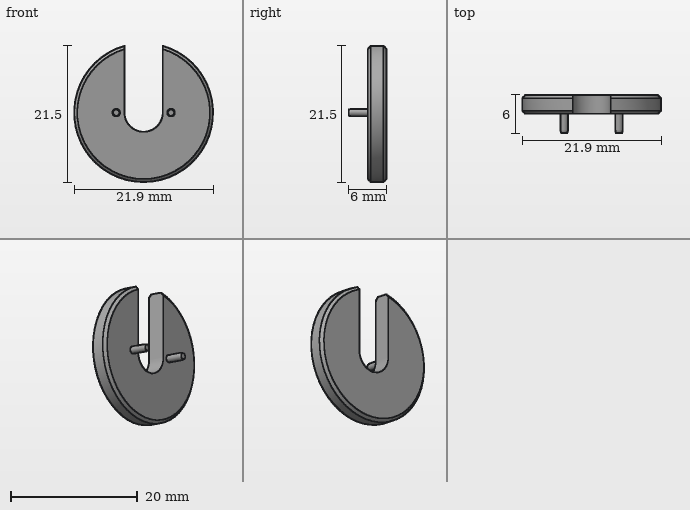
import cadquery as cq

disc_diameter = 21.93
disc_thickness = 3.0
rim_chamfer = 0.5

slot_width = 6.0

pin_diameter = 1.2
pin_length = 3.0
pin_spacing = 8.65
tip_length = 0.4
tip_inset = 0.1


def make_disc():
    """Disc from Y = 0 to Y = disc_thickness, chamfered on both rims."""
    disc = cq.Workplane("XZ").circle(disc_diameter / 2).extrude(-disc_thickness)
    return disc.edges().chamfer(rim_chamfer)


def make_slot():
    """Cutter running from the round slot bottom up past the rim."""
    half_width = slot_width / 2
    return (
        cq.Workplane("XZ")
        .moveTo(-half_width, disc_diameter)
        .lineTo(-half_width, 0)
        .threePointArc((0, -half_width), (half_width, 0))
        .lineTo(half_width, disc_diameter)
        .close()
        .extrude(-disc_thickness)
    )


def make_pin(x):
    """Pin pointing along -Y with a tapered tip."""
    pin = cq.Workplane("XZ").center(x, 0).circle(pin_diameter / 2).extrude(pin_length)
    return pin.faces("<Y").chamfer(tip_length, tip_inset)


result = make_disc().cut(make_slot())
for side in (-1, 1):
    result = result.union(make_pin(side * pin_spacing / 2))